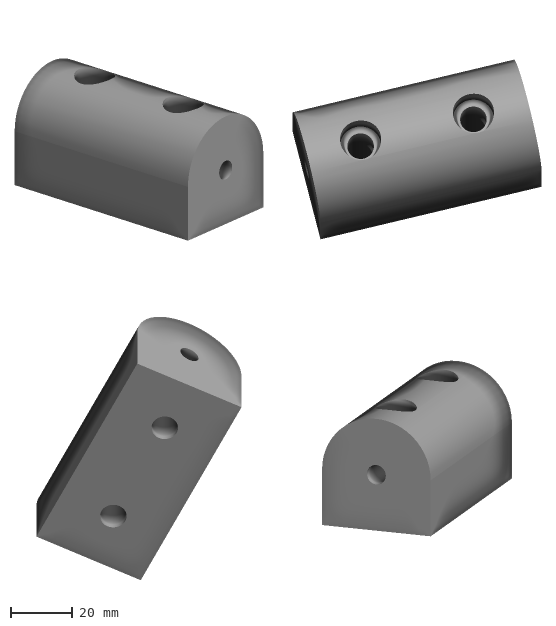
import cadquery as cq

LENGTH = 74.63
WIDTH = 38.1
BOLT_SPACING = 38.1
BOLT_HOLE_DIAMETER = 8.73
COUNTERBORE_DIAMETER = 13.49
COUNTERBORE_DEPTH = 7.94
BORE_DIAMETER = 6.6

CROWN_RADIUS = WIDTH / 2
CROWN_AXIS_Z = CROWN_RADIUS
HEIGHT = CROWN_AXIS_Z + CROWN_RADIUS


def make_body():
    """Block with a half-round top, extruded along X and centred in X and Y."""
    return (
        cq.Workplane("YZ", origin=(-LENGTH / 2, 0, 0))
        .moveTo(-WIDTH / 2, 0)
        .lineTo(WIDTH / 2, 0)
        .lineTo(WIDTH / 2, CROWN_AXIS_Z)
        .threePointArc((0, HEIGHT), (-WIDTH / 2, CROWN_AXIS_Z))
        .close()
        .extrude(LENGTH)
    )


def cut_bolt_holes(body):
    """Two vertical counterbored through holes, entered from the crown."""
    return (
        body.copyWorkplane(cq.Workplane("XY", origin=(0, 0, HEIGHT)))
        .pushPoints([(-BOLT_SPACING / 2, 0), (BOLT_SPACING / 2, 0)])
        .cboreHole(BOLT_HOLE_DIAMETER, COUNTERBORE_DIAMETER, COUNTERBORE_DEPTH)
    )


def cut_axial_bore(body):
    """Lengthwise through bore on the axis of the crown."""
    bore = (
        cq.Workplane("YZ", origin=(-LENGTH / 2, 0, CROWN_AXIS_Z))
        .circle(BORE_DIAMETER / 2)
        .extrude(LENGTH)
    )
    return body.cut(bore)


result = cut_axial_bore(cut_bolt_holes(make_body()))